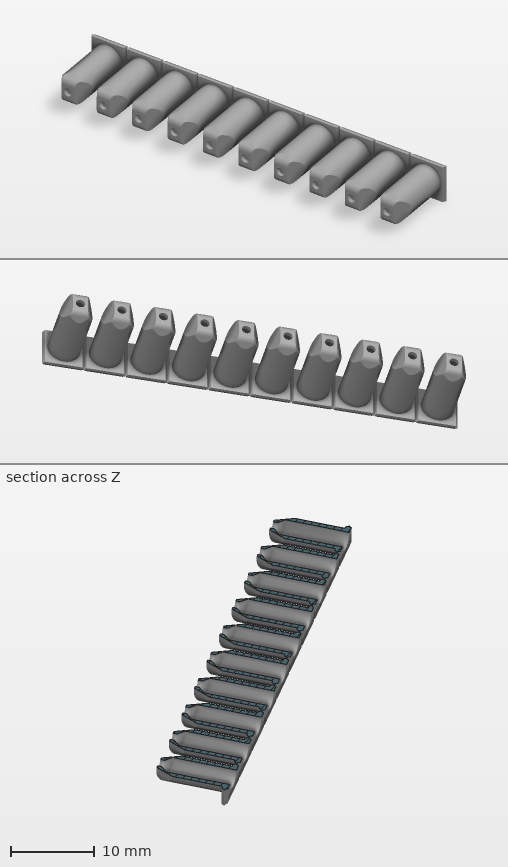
import cadquery as cq
import math

cell_count = 10
pitch = 5.1
strip_length = cell_count * pitch
strip_height = 5.0
total_depth = 9.3

strip_thickness = 0.75
front_groove_half_width = 0.25
front_groove_depth = 0.4
back_groove_half_width = 0.2
back_groove_depth = 0.25
back_slope_height = 0.2
back_slope_depth = 0.4

sleeve_diameter = 4.05
bore_diameter = 2.7
sleeve_length = total_depth - strip_thickness

outlet_diameter = 1.1
outlet_length = 0.5

rim_fillet = 0.8
flat_angle = 25.0
side_flat_length = 2.3
upper_flat_length = 1.2
flat_fillet = 0.75

sleeve_radius = sleeve_diameter / 2
flat_slope = math.tan(math.radians(flat_angle))
cell_centres = [(i - (cell_count - 1) / 2) * pitch for i in range(cell_count)]


def tapered_envelope(plane, flat_length):
    """Prism around the sleeve whose two opposite sides slope inward at the tip."""
    tip_half_width = sleeve_radius - flat_length * flat_slope
    shoulder = flat_length - sleeve_length
    return (
        cq.Workplane(plane)
        .polyline([
            (-sleeve_radius, 0),
            (-sleeve_radius, shoulder),
            (-tip_half_width, -sleeve_length),
            (tip_half_width, -sleeve_length),
            (sleeve_radius, shoulder),
            (sleeve_radius, 0),
        ])
        .close()
        .extrude(sleeve_radius, both=True)
    )


def make_sleeve():
    cylinder = cq.Workplane("XZ").circle(sleeve_radius).extrude(sleeve_length)
    cylinder = cylinder.faces("<Y").edges().fillet(rim_fillet)
    upper_lower_flats = tapered_envelope("ZY", upper_flat_length)
    upper_lower_flats = upper_lower_flats.faces("<Y").edges("|X").fillet(flat_fillet)
    side_flats = tapered_envelope("XY", side_flat_length)
    return cylinder.intersect(upper_lower_flats).intersect(side_flats)


def make_strip():
    """Plate made of one notched and sloped block per cell."""
    half_pitch = pitch / 2
    half_height = strip_height / 2
    plan = [
        (front_groove_half_width - half_pitch, 0),
        (half_pitch - front_groove_half_width, 0),
        (half_pitch, front_groove_depth),
        (half_pitch, strip_thickness - back_groove_depth),
        (half_pitch - back_groove_half_width, strip_thickness - back_groove_depth),
        (half_pitch - back_groove_half_width, strip_thickness),
        (back_groove_half_width - half_pitch, strip_thickness),
        (back_groove_half_width - half_pitch, strip_thickness - back_groove_depth),
        (-half_pitch, strip_thickness - back_groove_depth),
        (-half_pitch, front_groove_depth),
    ]
    cell = cq.Workplane("XY").polyline(plan).close().extrude(half_height, both=True)
    strip = cell.translate((cell_centres[0], 0, 0))
    for x in cell_centres[1:]:
        strip = strip.union(cell.translate((x, 0, 0)))
    section = [
        (-half_height, 0),
        (half_height, 0),
        (half_height, strip_thickness - back_slope_depth),
        (half_height - back_slope_height, strip_thickness),
        (back_slope_height - half_height, strip_thickness),
        (-half_height, strip_thickness - back_slope_depth),
    ]
    envelope = cq.Workplane("ZY").polyline(section).close().extrude(strip_length / 2, both=True)
    return strip.intersect(envelope)


def make_bore():
    """Turned shape, from the back of the strip to the end of the sleeve tip."""
    bore_radius = bore_diameter / 2
    outlet_radius = outlet_diameter / 2
    cone_small_end = outlet_length - sleeve_length
    cone_large_end = cone_small_end + bore_radius - outlet_radius
    return (
        cq.Workplane("XY")
        .polyline([
            (0, strip_thickness),
            (bore_radius, strip_thickness),
            (bore_radius, cone_large_end),
            (outlet_radius, cone_small_end),
            (outlet_radius, -sleeve_length),
            (0, -sleeve_length),
        ])
        .close()
        .revolve(360, (0, 0, 0), (0, 1, 0))
    )


sleeve = make_sleeve()
bore = make_bore()
result = make_strip()
for x in cell_centres:
    result = result.union(sleeve.translate((x, 0, 0)))
    result = result.cut(bore.translate((x, 0, 0)))